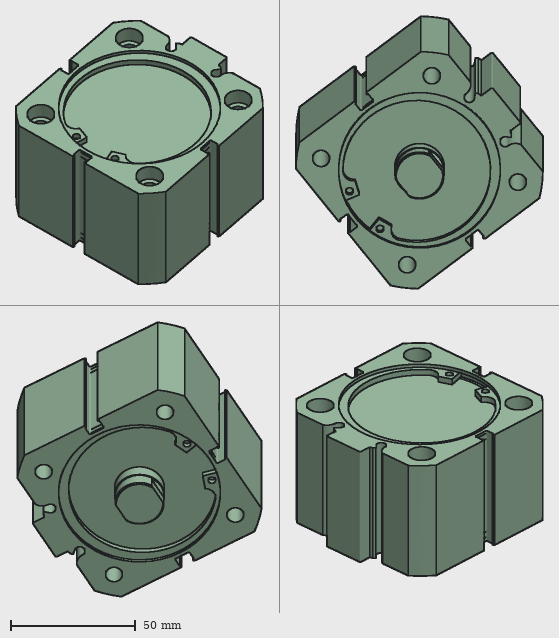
import cadquery as cq
import math

HOUSING_WIDTH = 77.5
HOUSING_HEIGHT = 51.05
CORNER_RADIUS = 49.55
BORE_RADIUS = 32.45

BOSS_TOP = 44.2
BOSS_HALF_WIDTH = 9.4
BOSS_EDGE_RADIUS = 0.5
BARB_SHOULDER_X = 10.8
BARB_SHOULDER_Y = 38.35
BARB_TIP_X = 11.7
BARB_TIP_Y = 37.5
CHANNEL_X = 11.7
CHANNEL_Y = 34.45
CHANNEL_RADIUS = 2.1
CHANNEL_EDGE_RADIUS = 4.65

SLOT_DEPTH = 4.7
SLOT_HALF_WIDTH = 3.3
SLOT_FLOOR_RADIUS = 0.5
SLOT_LIP_HALF_WIDTH = 2.7
SLOT_LIP_DEPTH = 0.9
SLOT_LIP_CHAMFER = 0.3

MOUNT_OFFSET = 28.1
MOUNT_DIAMETER = 6.8
COUNTERBORE_DIAMETER = 10.95
COUNTERBORE_DEPTH = 7.0

RING_RECESS = 1.5
RING_THICKNESS = 2.6
RING_OUTER_RADIUS = 33.8
RING_INNER_RADIUS = 29.6
RING_INNER_OFFSET = -1.4
LUG_CORNER_X = 6.4
LUG_CORNER_Y = -25.6
LUG_TIP_X = 12.0
LUG_TIP_Y = -23.4
LUG_HOLE_X = 10.0
LUG_HOLE_Y = -27.8
LUG_HOLE_DIAMETER = 3.0
LUG_RELIEF_RADIUS = 4.3

COVER_THICKNESS = 10.0
PISTON_THICKNESS = 10.0
ROD_DIAMETER = 20.0
ROD_PROTRUSION = 8.0
ROD_END_DIAMETER = 19.6
ROD_SHOULDER_DROP = 1.7
ROD_END_CHAMFER = 0.5
FLAT_DISTANCE = 17.0

HALF_WIDTH = HOUSING_WIDTH / 2
LOWER_RING_Z = RING_RECESS
UPPER_RING_Z = HOUSING_HEIGHT - RING_RECESS - RING_THICKNESS
ROD_COVER_Z = LOWER_RING_Z + RING_THICKNESS
HEAD_COVER_Z = UPPER_RING_Z - COVER_THICKNESS


def cylinder(diameter, z, height):
    return cq.Workplane("XY").workplane(offset=z).circle(diameter / 2).extrude(height)


def cable_channel():
    """Cutter for the +X cable channel: a round groove that opens to +Y past the boss barb."""
    wall_x = CHANNEL_X + CHANNEL_RADIUS
    edge_center_x = wall_x + CHANNEL_EDGE_RADIUS
    face_angle = math.asin((HALF_WIDTH - CHANNEL_Y) / CHANNEL_EDGE_RADIUS)
    face_x = edge_center_x - CHANNEL_EDGE_RADIUS * math.cos(face_angle)
    edge_middle = (
        edge_center_x - CHANNEL_EDGE_RADIUS * math.cos(face_angle / 2),
        CHANNEL_Y + CHANNEL_EDGE_RADIUS * math.sin(face_angle / 2),
    )
    diagonal = math.sqrt(0.5)
    inner_exit = (CHANNEL_X - CHANNEL_RADIUS * diagonal, CHANNEL_Y + CHANNEL_RADIUS * diagonal)
    return (
        cq.Workplane("XY")
        .moveTo(BOSS_HALF_WIDTH, BOSS_TOP)
        .lineTo(BOSS_HALF_WIDTH, HALF_WIDTH)
        .lineTo(BARB_SHOULDER_X, BARB_SHOULDER_Y)
        .lineTo(BARB_TIP_X, BARB_TIP_Y)
        .lineTo(*inner_exit)
        .threePointArc((CHANNEL_X, CHANNEL_Y - CHANNEL_RADIUS), (wall_x, CHANNEL_Y))
        .threePointArc(edge_middle, (face_x, HALF_WIDTH))
        .lineTo(face_x, BOSS_TOP)
        .close()
        .extrude(HOUSING_HEIGHT)
    )


def sensor_slot():
    """Cutter for the lipped slot on the +X side, which runs the full height."""
    mouth_half_width = SLOT_LIP_HALF_WIDTH + SLOT_LIP_CHAMFER
    channel_width = SLOT_DEPTH - SLOT_LIP_DEPTH
    channel = (
        cq.Workplane("XY")
        .center(HALF_WIDTH - SLOT_LIP_DEPTH - channel_width / 2, 0)
        .rect(channel_width, 2 * SLOT_HALF_WIDTH)
        .extrude(HOUSING_HEIGHT)
        .edges("|Z and <X")
        .fillet(SLOT_FLOOR_RADIUS)
    )
    mouth = (
        cq.Workplane("XY")
        .moveTo(HALF_WIDTH, mouth_half_width)
        .lineTo(HALF_WIDTH - SLOT_LIP_CHAMFER, SLOT_LIP_HALF_WIDTH)
        .lineTo(HALF_WIDTH - SLOT_LIP_DEPTH, SLOT_LIP_HALF_WIDTH)
        .lineTo(HALF_WIDTH - SLOT_LIP_DEPTH, -SLOT_LIP_HALF_WIDTH)
        .lineTo(HALF_WIDTH - SLOT_LIP_CHAMFER, -SLOT_LIP_HALF_WIDTH)
        .lineTo(HALF_WIDTH, -mouth_half_width)
        .close()
        .extrude(HOUSING_HEIGHT)
    )
    return channel.union(mouth)


def make_housing():
    block = cq.Workplane("XY").rect(HOUSING_WIDTH, HOUSING_WIDTH).extrude(HOUSING_HEIGHT)
    block = block.intersect(cylinder(2 * CORNER_RADIUS, 0, HOUSING_HEIGHT))

    boss = (
        cq.Workplane("XY")
        .center(0, BOSS_TOP / 2)
        .rect(2 * BOSS_HALF_WIDTH, BOSS_TOP)
        .extrude(HOUSING_HEIGHT)
        .edges("|Z and >Y")
        .fillet(BOSS_EDGE_RADIUS)
    )
    housing = block.union(boss)

    channel = cable_channel()
    housing = housing.cut(channel).cut(channel.mirror("YZ"))

    for angle in (0, 180, 270):
        housing = housing.cut(sensor_slot().rotate((0, 0, 0), (0, 0, 1), angle))

    housing = (
        housing.faces(">Z")
        .workplane(origin=(0, 0, HOUSING_HEIGHT))
        .rect(2 * MOUNT_OFFSET, 2 * MOUNT_OFFSET, forConstruction=True)
        .vertices()
        .cboreHole(MOUNT_DIAMETER, COUNTERBORE_DIAMETER, COUNTERBORE_DEPTH)
    )

    housing = housing.cut(cylinder(2 * BORE_RADIUS, 0, HOUSING_HEIGHT))
    for groove_z in (LOWER_RING_Z, UPPER_RING_Z):
        housing = housing.cut(cylinder(2 * RING_OUTER_RADIUS, groove_z, RING_THICKNESS))
    return housing


def make_snap_ring(z):
    """Eccentric retaining ring with a gap and two drilled lugs on the -Y side."""
    gap_scale = RING_OUTER_RADIUS / math.hypot(LUG_CORNER_X, LUG_CORNER_Y)
    gap_x = LUG_CORNER_X * gap_scale
    gap_y = LUG_CORNER_Y * gap_scale

    center_distance = RING_INNER_RADIUS - LUG_RELIEF_RADIUS
    tip_dy = LUG_TIP_Y - RING_INNER_OFFSET
    tip_distance = math.hypot(LUG_TIP_X, tip_dy)
    cos_turn = (center_distance**2 + tip_distance**2 - LUG_RELIEF_RADIUS**2) / (
        2 * center_distance * tip_distance
    )
    relief_angle = math.atan2(tip_dy, LUG_TIP_X) + math.acos(cos_turn)
    relief_x = center_distance * math.cos(relief_angle)
    relief_y = RING_INNER_OFFSET + center_distance * math.sin(relief_angle)
    tangent_x = RING_INNER_RADIUS * math.cos(relief_angle)
    tangent_y = RING_INNER_OFFSET + RING_INNER_RADIUS * math.sin(relief_angle)
    relief_bottom_y = relief_y - LUG_RELIEF_RADIUS

    return (
        cq.Workplane("XY")
        .workplane(offset=z)
        .moveTo(gap_x, gap_y)
        .threePointArc((0, RING_OUTER_RADIUS), (-gap_x, gap_y))
        .lineTo(-LUG_CORNER_X, LUG_CORNER_Y)
        .lineTo(-LUG_TIP_X, LUG_TIP_Y)
        .threePointArc((-relief_x, relief_bottom_y), (-tangent_x, tangent_y))
        .threePointArc((0, RING_INNER_OFFSET + RING_INNER_RADIUS), (tangent_x, tangent_y))
        .threePointArc((relief_x, relief_bottom_y), (LUG_TIP_X, LUG_TIP_Y))
        .lineTo(LUG_CORNER_X, LUG_CORNER_Y)
        .close()
        .pushPoints([(-LUG_HOLE_X, LUG_HOLE_Y), (LUG_HOLE_X, LUG_HOLE_Y)])
        .circle(LUG_HOLE_DIAMETER / 2)
        .extrude(RING_THICKNESS)
    )


def make_head_cover():
    """Plain plug that closes the bore below the upper snap ring."""
    return cylinder(2 * BORE_RADIUS, HEAD_COVER_Z, COVER_THICKNESS)


def make_rod_cover():
    """Plug above the lower snap ring, with a hole that guides the rod."""
    plug = cylinder(2 * BORE_RADIUS, ROD_COVER_Z, COVER_THICKNESS)
    return plug.cut(cylinder(ROD_DIAMETER, ROD_COVER_Z, COVER_THICKNESS))


def flat_cutter():
    """Cutter for the +Y wrench flat, which runs out through a 45 degree ramp at the shoulder."""
    flat_y = FLAT_DISTANCE / 2
    ramp = ROD_DIAMETER / 2 - flat_y
    return (
        cq.Workplane("YZ")
        .moveTo(flat_y, -ROD_PROTRUSION)
        .lineTo(flat_y, -ROD_SHOULDER_DROP - ramp)
        .lineTo(flat_y + ramp, -ROD_SHOULDER_DROP)
        .lineTo(flat_y + ramp, -ROD_PROTRUSION)
        .close()
        .extrude(ROD_DIAMETER / 2, both=True)
    )


def make_piston_rod():
    """Piston resting against the head cover, with its rod leaving the housing at the bottom."""
    piston = cylinder(2 * BORE_RADIUS, HEAD_COVER_Z - PISTON_THICKNESS, PISTON_THICKNESS)
    shoulder_chamfer = (ROD_DIAMETER - ROD_END_DIAMETER) / 2
    shoulder_z = -ROD_SHOULDER_DROP - shoulder_chamfer
    rod = cylinder(ROD_DIAMETER, shoulder_z, HEAD_COVER_Z - shoulder_z)
    rod = rod.faces("<Z").chamfer(shoulder_chamfer)
    rod_end = cylinder(ROD_END_DIAMETER, -ROD_PROTRUSION, ROD_PROTRUSION)
    rod_end = rod_end.faces("<Z").chamfer(ROD_END_CHAMFER)
    cutter = flat_cutter()
    return piston.union(rod).union(rod_end).cut(cutter).cut(cutter.mirror("XZ"))


housing = make_housing()
head_cover = make_head_cover()
rod_cover = make_rod_cover()
piston_rod = make_piston_rod()
snap_rings = [make_snap_ring(z).val() for z in (LOWER_RING_Z, UPPER_RING_Z)]

result = cq.Compound.makeCompound(
    [housing.val(), head_cover.val(), rod_cover.val(), piston_rod.val(), *snap_rings]
)